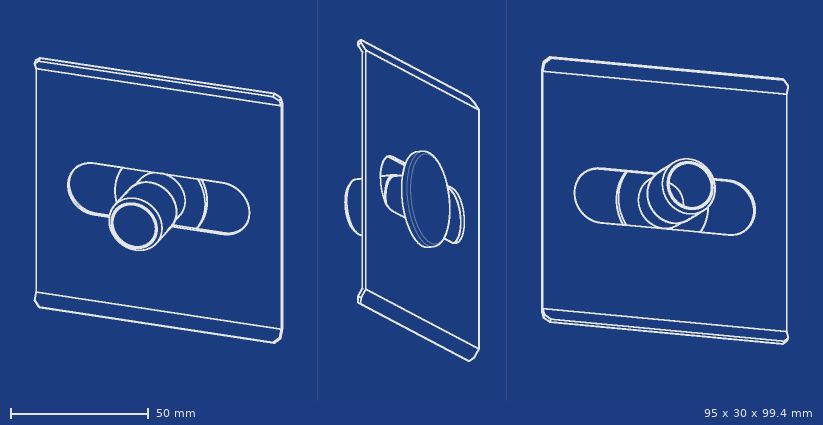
import cadquery as cq
import math

plate_width = 95.0
plate_height = 99.4
plate_thickness = 1.5
lip_angle = math.radians(32)
lip_length = 5.7
lip_corner_chamfer = 2.1
slot_length = 70.4
slot_height = 20.5

bolt_length = 30.0
head_diameter = 35.0
head_thickness = 3.1
head_round = 1.0
neck_diameter = 19.5
neck_length = 10.0
stem_diameter = 20.6
stem_chamfer = 1.4
shoulder_chamfer = 0.2
bore_mouth_diameter = 16.6
bore_draft = math.radians(1)
bore_depth = bolt_length - head_thickness


def bent_sheet():
    """The side outline of the plate with both lips, extruded across its width."""
    lip_rise = lip_length * math.cos(lip_angle)
    lip_reach = lip_length * math.sin(lip_angle)
    back_bend_z = plate_height / 2 - lip_rise
    front_bend_z = back_bend_z - plate_thickness * math.tan(lip_angle / 2)
    tip_y = -lip_reach - plate_thickness * math.cos(lip_angle)
    tip_z = plate_height / 2 - plate_thickness * math.sin(lip_angle)
    upper_outline = [
        (0, back_bend_z),
        (-lip_reach, plate_height / 2),
        (tip_y, tip_z),
        (-plate_thickness, front_bend_z),
    ]
    lower_outline = [(y, -z) for y, z in reversed(upper_outline)]
    return (
        cq.Workplane("YZ")
        .polyline(upper_outline + lower_outline)
        .close()
        .extrude(plate_width / 2, both=True)
    )


def lip_corner_edges(blank):
    """The four short edges through the sheet at the outer corners of the lips."""
    corner_z = plate_height / 2 - plate_thickness * math.sin(lip_angle) / 2
    tolerance = plate_thickness / 10
    side_edges = blank.faces("<X or >X").edges()
    return side_edges.filter(lambda edge: abs(abs(edge.Center().z) - corner_z) < tolerance)


def make_plate():
    blank = bent_sheet()
    plate = lip_corner_edges(blank).chamfer(lip_corner_chamfer)
    slot = (
        cq.Workplane("XZ")
        .slot2D(slot_length, slot_height)
        .extrude(plate_thickness)
    )
    return plate.cut(slot)


def make_bolt():
    stem_length = bolt_length - head_thickness - neck_length
    head = (
        cq.Workplane("XZ", origin=(0, head_thickness, 0))
        .circle(head_diameter / 2)
        .extrude(head_thickness)
        .faces(">Y")
        .edges()
        .fillet(head_round)
    )
    neck = cq.Workplane("XZ").circle(neck_diameter / 2).extrude(neck_length)
    stem = (
        cq.Workplane("XZ", origin=(0, -neck_length, 0))
        .circle(stem_diameter / 2)
        .extrude(stem_length)
        .faces("<Y")
        .chamfer(stem_chamfer)
        .faces(">Y")
        .chamfer(shoulder_chamfer)
    )
    floor_diameter = bore_mouth_diameter - 2 * bore_depth * math.tan(bore_draft)
    bore = (
        cq.Workplane("XZ")
        .circle(floor_diameter / 2)
        .extrude(bore_depth, taper=-math.degrees(bore_draft))
    )
    return head.union(neck).union(stem).cut(bore)


plate = make_plate()
bolt = make_bolt()

result = cq.Compound.makeCompound([plate.val(), bolt.val()])